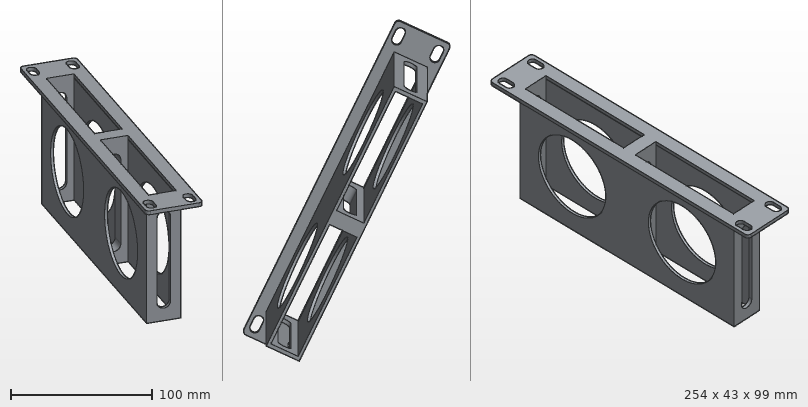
import cadquery as cq

plate_length = 254.0
plate_width = 43.0
plate_thickness = 3.0
plate_corner_radius = 3.0

mount_slot_length = 13.2
mount_slot_width = 7.0
mount_slot_spacing_x = 233.2
mount_slot_spacing_y = 30.0

total_height = 99.0
body_length = 210.3
body_width = 26.0

bay_length = 96.5
bay_width = 21.3
window_width = 20.8
bay_spacing = 108.0

opening_diameter = 66.0
opening_depth = 51.0

end_slot_length = 76.2
end_slot_width = 10.2
end_slot_depth = 51.0

bay_centers = [(-bay_spacing / 2, 0), (bay_spacing / 2, 0)]


def make_plate():
    """Flat plate with rounded corners, its top face at Z = 0."""
    plate = cq.Workplane("XY").box(
        plate_length, plate_width, plate_thickness, centered=(True, True, False)
    )
    plate = plate.edges("|Z").fillet(plate_corner_radius)
    return plate.translate((0, 0, -plate_thickness))


def make_body():
    """Solid block from the plate's top face to the bottom of the part."""
    return (
        cq.Workplane("XY")
        .box(body_length, body_width, total_height, centered=(True, True, False))
        .translate((0, 0, -total_height))
    )


def make_mount_slots():
    return (
        cq.Workplane("XY")
        .rarray(mount_slot_spacing_x, mount_slot_spacing_y, 2, 2)
        .slot2D(mount_slot_length, mount_slot_width)
        .extrude(-plate_thickness)
    )


def make_bays():
    """Bays up to the underside of the plate, open at the bottom."""
    return (
        cq.Workplane("XY", origin=(0, 0, -total_height))
        .pushPoints(bay_centers)
        .rect(bay_length, bay_width)
        .extrude(total_height - plate_thickness)
    )


def make_windows():
    """Windows through the plate, leaving a small lip over the long sides of each bay."""
    return (
        cq.Workplane("XY")
        .pushPoints(bay_centers)
        .rect(bay_length, window_width)
        .extrude(-plate_thickness)
    )


def make_round_openings():
    return (
        cq.Workplane("XZ")
        .pushPoints(bay_centers)
        .circle(opening_diameter / 2)
        .extrude(body_width, both=True)
        .translate((0, 0, -opening_depth))
    )


def make_end_slot():
    return (
        cq.Workplane("YZ")
        .center(0, -end_slot_depth)
        .slot2D(end_slot_length, end_slot_width, angle=90)
        .extrude(body_length, both=True)
    )


result = (
    make_plate()
    .union(make_body())
    .cut(make_mount_slots())
    .cut(make_bays())
    .cut(make_windows())
    .cut(make_round_openings())
    .cut(make_end_slot())
)